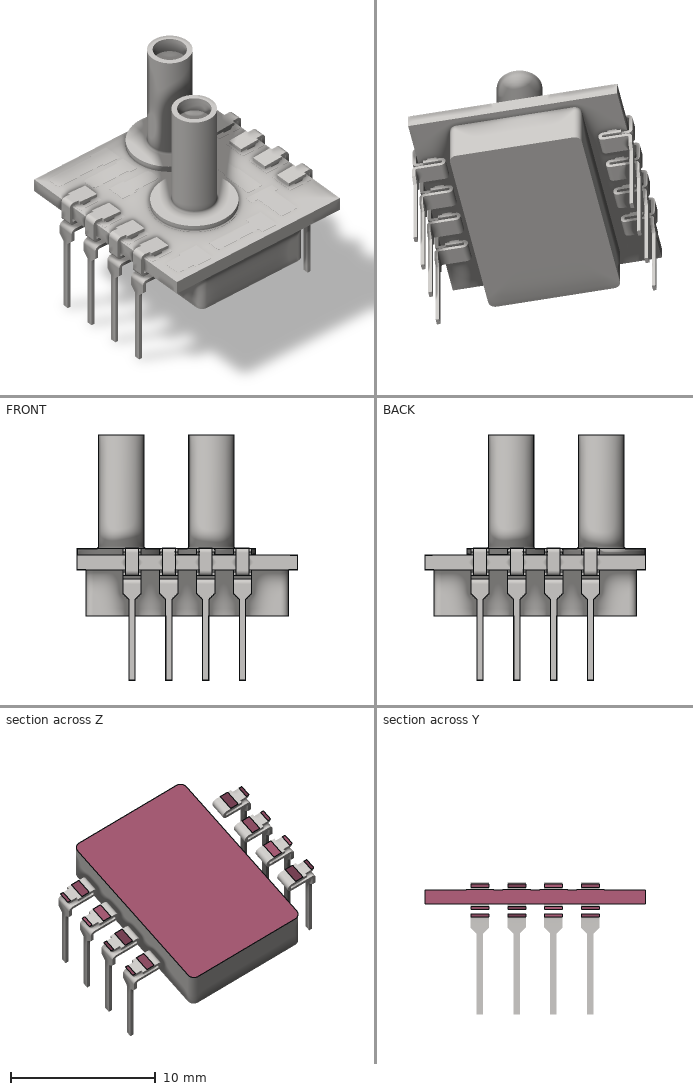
import cadquery as cq
import math


BOARD_X = 15.24
BOARD_Y = 14.73
BOARD_THICK = 1.02
BASE_X = 13.98
BASE_Y = 9.29
BASE_HEIGHT = 3.2
BASE_CORNER_RADIUS = 0.51

PORT_TOP = 8.3
TUBE_RADIUS = 1.58
TUBE_FOOT_RADIUS = 0.15
BORE_RADIUS = 1.19
BORE_DEPTH = 1.05
FLANGE_RADIUS = 3.05
FLANGE_TOP = 0.44
UNDERCUT_RADIUS = FLANGE_RADIUS - 0.17
UNDERCUT_TOP = 0.05
RING_RADIUS = FLANGE_RADIUS + 0.12
SIDE_PORT_CENTER = (-4.56, 2.3)
MIDDLE_PORT_CENTER = (1.66, -0.75)

COPPER_THICK = 0.02
PAD_X = 1.92
PAD_Y = 1.86
PAD_CENTER_Y = 6.25
TAIL_CORNER_RADIUS = 0.3

LEAD_COUNT = 4
LEAD_PITCH = 2.55
LEAD_OUTER_Y = 7.75
LEAD_THICK = 0.25
LEAD_WIDTH = 1.27
NECK_WIDTH = 0.9
PIN_WIDTH = 0.44
BEND_INNER_RADIUS = 0.08
BEND_OUTER_RADIUS = BEND_INNER_RADIUS + LEAD_THICK
TAB_TOP = 0.51
TAB_TIP_Y = 5.44
TAB_TIP_DROP = 0.14
ARM_TOP = -1.15
FOLD_GAP = 0.25
FOLD_END_Y = 5.39
NECK_END_Y = 6.98
TAPER_TOP = -2.65
PIN_BOTTOM = -8.65

BUMP_OUTER_Y = 6.66
BUMP_INNER_Y = 6.03
UPPER_BUMP_OUTER_FLARE = 0.2
BUMP_FLARE = 0.05

lead_xs = [(i - (LEAD_COUNT - 1) / 2) * LEAD_PITCH for i in range(LEAD_COUNT)]



def board():
    return cq.Workplane("XY").rect(BOARD_X, BOARD_Y).extrude(-BOARD_THICK)


def base():
    block = cq.Workplane("XY").workplane(offset=-BOARD_THICK).rect(BASE_X, BASE_Y).extrude(-BASE_HEIGHT)
    return block.edges("|Z").fillet(BASE_CORNER_RADIUS)


def port(center):
    """Flange and tube with a rounded foot and a blind bore in the top."""
    flange = cq.Workplane("XY").circle(FLANGE_RADIUS).extrude(FLANGE_TOP)
    tube = cq.Workplane("XY").circle(TUBE_RADIUS).extrude(PORT_TOP)
    smallest = cq.selectors.RadiusNthSelector(0)
    foot_edge = flange.union(tube).edges("%CIRCLE").edges(">>Z[-2]").edges(smallest)
    body = foot_edge.fillet(TUBE_FOOT_RADIUS)
    bore = cq.Workplane("XY").workplane(offset=PORT_TOP).circle(BORE_RADIUS).extrude(-BORE_DEPTH)
    return body.cut(bore).translate((*center, 0))


def middle_port():
    """Port whose flange rim stands clear of the board by a narrow gap."""
    rim_gap = cq.Workplane("XY").circle(FLANGE_RADIUS).circle(UNDERCUT_RADIUS).extrude(UNDERCUT_TOP)
    return port((0, 0)).cut(rim_gap).translate((*MIDDLE_PORT_CENTER, 0))


def ring():
    """Copper disc under the middle port that shows as a ring around its flange."""
    return cq.Workplane("XY").center(*MIDDLE_PORT_CENTER).circle(RING_RADIUS).extrude(COPPER_THICK)


def solder_pads():
    centers = [(x, side * PAD_CENTER_Y) for x in lead_xs for side in (-1, 1)]
    return cq.Workplane("XY").pushPoints(centers).rect(PAD_X, PAD_Y).extrude(COPPER_THICK)


def trace(joint, angle, head, tail, corner_radius=0.0, tail_shift=0.0):
    """Wide head and narrower tail that meet at joint; the tail points along angle.

    head and tail are (length, width) and tail_shift moves the tail sideways.
    """
    head_length, head_width = head
    tail_length, tail_width = tail
    head_plate = cq.Workplane("XY").center(-head_length / 2, 0).rect(head_length, head_width)
    head_plate = head_plate.extrude(COPPER_THICK)
    tail_plate = cq.Workplane("XY").center(tail_length / 2, tail_shift).rect(tail_length, tail_width)
    tail_plate = tail_plate.extrude(COPPER_THICK)
    if corner_radius:
        tail_plate = tail_plate.edges("|Z and >X").fillet(corner_radius)
    return head_plate.union(tail_plate).rotate((0, 0, 0), (0, 0, 1), angle).translate((*joint, 0))


def traces():
    rounded = TAIL_CORNER_RADIUS
    return [
        trace((-6.42, -2.7), -90, (1.45, 1.47), (3.97, 1.15), rounded),
        trace((-4.73, -1.81), -90, (0.65, 1.47), (3.12, 1.15), rounded),
        trace((-2.73, -2.83), 90, (1.29, 1.47), (2.17, 1.15), rounded),
        trace((0.5, 3.55), 180, (2.6, 1.27), (2.12, 1.03), rounded),
        trace((4.12, 3.56), 0, (0.65, 2.35), (2.47, 1.47), tail_shift=0.14),
        trace((6.2, 0.8), -90, (1.35, 1.78), (3.63, 0.98)),
        trace((6.2, -5.25), -90, (1.6, 1.78), (1.4, 1.4), rounded),
    ]


def build_housing():
    body = board().union(base()).union(solder_pads()).union(ring())
    body = body.union(port(SIDE_PORT_CENTER)).union(middle_port())
    for strip in traces():
        body = body.union(strip)
    return body



def rounded_outline(corners):
    """Closed wire in the YZ plane; each corner is (y, z, radius)."""
    wire = cq.Workplane("YZ")
    count = len(corners)
    for i, (y, z, radius) in enumerate(corners):
        corner = cq.Vector(y, z)
        before = cq.Vector(*corners[i - 1][:2]) - corner
        after = cq.Vector(*corners[(i + 1) % count][:2]) - corner
        half_angle = before.getAngle(after) / 2
        inward = (before.normalized() + after.normalized()).normalized()
        setback = radius / math.tan(half_angle)
        start = corner + before.normalized() * setback
        middle = corner + inward * (radius / math.sin(half_angle) - radius)
        end = corner + after.normalized() * setback
        wire = wire.lineTo(start.x, start.y) if i else wire.moveTo(start.x, start.y)
        if radius:
            wire = wire.threePointArc((middle.x, middle.y), (end.x, end.y))
    return wire.close()


def lead_strip():
    """Bent strip at full width, from the tab over the board to the bottom of the pin."""
    inner_y = LEAD_OUTER_Y - LEAD_THICK
    arm_bottom = ARM_TOP - LEAD_THICK
    shoulder_top = arm_bottom - FOLD_GAP
    shoulder_bottom = shoulder_top - LEAD_THICK
    fold_inner_y = FOLD_END_Y + LEAD_THICK
    tab_tip_top = TAB_TOP - TAB_TIP_DROP
    tight = BEND_INNER_RADIUS
    wide = BEND_OUTER_RADIUS
    corners = [
        (TAB_TIP_Y, tab_tip_top, 0),
        (LEAD_OUTER_Y, TAB_TOP, wide),
        (LEAD_OUTER_Y, arm_bottom, wide),
        (fold_inner_y, arm_bottom, tight),
        (fold_inner_y, shoulder_top, tight),
        (LEAD_OUTER_Y, shoulder_top, wide),
        (LEAD_OUTER_Y, PIN_BOTTOM, 0),
        (inner_y, PIN_BOTTOM, 0),
        (inner_y, shoulder_bottom, tight),
        (FOLD_END_Y, shoulder_bottom, wide),
        (FOLD_END_Y, ARM_TOP, wide),
        (inner_y, ARM_TOP, tight),
        (inner_y, TAB_TOP - LEAD_THICK, tight),
        (TAB_TIP_Y, tab_tip_top - LEAD_THICK, 0),
    ]
    return rounded_outline(corners).extrude(LEAD_WIDTH / 2, both=True)


def bumps():
    """Contact bumps that reach from the strip to the pad above and to the board below."""
    tab_middle = TAB_TOP - LEAD_THICK / 2 - TAB_TIP_DROP / 2
    arm_middle = ARM_TOP - LEAD_THICK / 2
    upper = cq.Workplane("YZ").polyline([
        (BUMP_OUTER_Y, COPPER_THICK),
        (BUMP_OUTER_Y + UPPER_BUMP_OUTER_FLARE, tab_middle),
        (BUMP_INNER_Y - BUMP_FLARE, tab_middle),
        (BUMP_INNER_Y, COPPER_THICK),
    ]).close()
    lower = cq.Workplane("YZ").polyline([
        (BUMP_OUTER_Y, -BOARD_THICK),
        (BUMP_OUTER_Y + BUMP_FLARE, arm_middle),
        (BUMP_INNER_Y - BUMP_FLARE, arm_middle),
        (BUMP_INNER_Y, -BOARD_THICK),
    ]).close()
    half_width = LEAD_WIDTH / 2
    return upper.extrude(half_width, both=True).union(lower.extrude(half_width, both=True))


def front_outline():
    """Wide shoulder that tapers at 45 degrees into the pin, through the whole depth of the lead."""
    half_width = LEAD_WIDTH / 2
    half_pin = PIN_WIDTH / 2
    taper_bottom = TAPER_TOP - (half_width - half_pin)
    outline = cq.Workplane("XZ").polyline([
        (-half_width, TAB_TOP),
        (half_width, TAB_TOP),
        (half_width, TAPER_TOP),
        (half_pin, taper_bottom),
        (half_pin, PIN_BOTTOM),
        (-half_pin, PIN_BOTTOM),
        (-half_pin, taper_bottom),
        (-half_width, TAPER_TOP),
    ]).close()
    return outline.extrude(-LEAD_OUTER_Y)


def neck_cuts():
    """Blocks that narrow the clip where it passes around the edge of the board."""
    side_width = (LEAD_WIDTH - NECK_WIDTH) / 2
    bottom = ARM_TOP - LEAD_THICK - FOLD_GAP / 2
    offset_x = (NECK_WIDTH + side_width) / 2
    block = cq.Workplane("XY").workplane(offset=bottom).pushPoints(
        [(side * offset_x, (NECK_END_Y + LEAD_OUTER_Y) / 2) for side in (-1, 1)]
    )
    return block.rect(side_width, LEAD_OUTER_Y - NECK_END_Y).extrude(TAB_TOP - bottom)


def build_lead():
    """One lead on the +Y edge of the board, centred on X = 0."""
    return lead_strip().union(bumps()).intersect(front_outline()).cut(neck_cuts())


def build_leads():
    lead = build_lead()
    turned = lead.rotate((0, 0, 0), (0, 0, 1), 180)
    return [source.translate((x, 0, 0)) for source in (lead, turned) for x in lead_xs]


housing = build_housing()
leads = build_leads()

result = cq.Compound.makeCompound([housing.val(), *[lead.val() for lead in leads]])